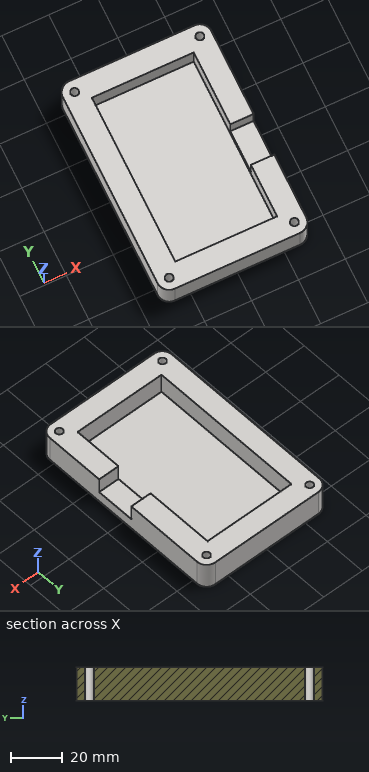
import cadquery as cq

pocket_length_x = 43.46
pocket_length_y = 74.82
wall = 10.0
height = 13.0
pocket_depth = 10.0
corner_radius = 5.0
hole_diameter = 3.4
hole_inset = 5.0
notch_width = 18.5
notch_offset = 23.5
notch_depth = 7.5

outer_x = pocket_length_x + 2 * wall
outer_y = pocket_length_y + 2 * wall
notch_center_y = -pocket_length_y / 2 + notch_offset + notch_width / 2
hole_spacing_x = outer_x - 2 * hole_inset
hole_spacing_y = outer_y - 2 * hole_inset


def make_body():
    """Rounded block standing on Z = 0, centred in X and Y."""
    block = cq.Workplane("XY").box(outer_x, outer_y, height, centered=(True, True, False))
    return block.edges("|Z").fillet(corner_radius)


def cut_pocket(body):
    """Rectangular pocket, open at the top."""
    pocket = (
        cq.Workplane("XY", origin=(0, 0, height - pocket_depth))
        .box(pocket_length_x, pocket_length_y, pocket_depth, centered=(True, True, False))
    )
    return body.cut(pocket)


def cut_notch(body):
    """Notch through the +X wall, from the pocket to the outside."""
    notch = (
        cq.Workplane("XY", origin=(pocket_length_x / 2, notch_center_y, height - notch_depth))
        .box(wall, notch_width, notch_depth, centered=(False, True, False))
    )
    return body.cut(notch)


def drill_corner_holes(body):
    """Four through holes, one in each corner."""
    return (
        body.faces("<Z")
        .workplane(origin=(0, 0, 0))
        .rect(hole_spacing_x, hole_spacing_y, forConstruction=True)
        .vertices()
        .hole(hole_diameter)
    )


result = drill_corner_holes(cut_notch(cut_pocket(make_body())))